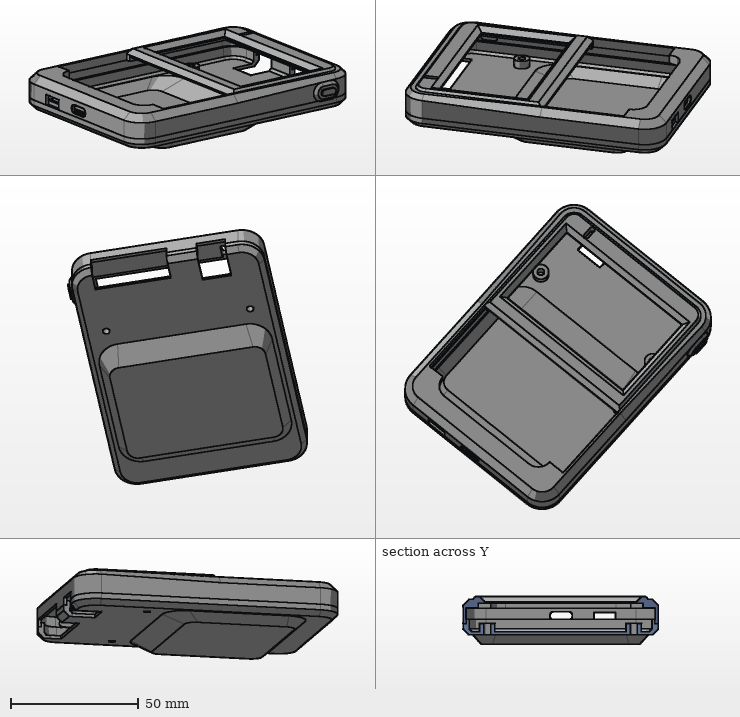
import cadquery as cq
CASE_WIDTH = 77.0
CASE_LENGTH = 106.8
CORNER_RADIUS = 9.0
HALF_WIDTH = CASE_WIDTH / 2
HALF_LENGTH = CASE_LENGTH / 2
OVERCUT = 1.1

BELLY_DEPTH = 3.7
PARTING_Z = 8.2
TOP_FACE_Z = 17.8
BEZEL_HEIGHT = 1.1
BEZEL_TOP_Z = TOP_FACE_Z + BEZEL_HEIGHT

SKIN = 1.3
LIP_HEIGHT = 1.7
CAVITY_INSET = 2 * SKIN
FLOOR_Z = BELLY_DEPTH + SKIN
PLATE_UNDERSIDE_Z = 14.2

BOTTOM_CHAMFER = 2.2
FLOOR_CHAMFER = 1.1
FRONT_CHAMFER = 3.0
REAR_CHAMFER = 2.0
TAPER_START_Y = -4.0
TAPER_END_Y = HALF_LENGTH - CORNER_RADIUS

BEZEL_HALF_WIDTH = 34.5
BEZEL_REAR_Y = 49.5
BEZEL_CORNER_RADIUS = 5.0
BAR_FRONT_Y = -4.2
BAR_BEVEL = 2.1
WINDOW_WIDTH = 63.9
WINDOW_FRONT_Y = 2.2
WINDOW_REAR_Y = 42.5
WINDOW_BEVEL = 2.1
SCREEN_WIDTH = 64.7
SCREEN_REAR_Y = 42.8
SCREEN_RECESS_TOP_Z = 16.1

KEYBOARD_FRONT_Y = -37.5
THUMB_WIDTH = 55.1
THUMB_FRONT_Y = -43.4
THUMB_RADIUS = 5.8

SLOT_X = -22.4
SLOT_Y = 45.4
SLOT_LENGTH = 5.6
SLOT_WIDTH = 2.0
USB_X = -0.2
USB_Z = 11.2
USB_WIDTH = 9.2
USB_HEIGHT = 3.6
USB_RIM_CHAMFER = 0.2
NOTCH_LEFT_X = -21.6
NOTCH_RIGHT_X = -13.2
NOTCH_TOP_Z = 12.5

REAR_PORTS = [(-24.6, -13.0, 40.8), (-1.0, 29.3, 44.1)]
PORT_TOP_Z = 11.1

BELLY_OUTER_TOP = (34.6, -41.3, 16.6, 8.9)
BELLY_OUTER_BOTTOM = (31.2, -36.7, 7.8, 4.3)
BELLY_INNER_TOP = (34.4, -41.1, 17.0, 8.9)
BELLY_INNER_BOTTOM = (30.7, -36.0, 7.0, 4.3)

POST_X = 28.8
POST_Y = 23.5
POST_DIAMETER = 6.2
POST_HOLE_DIAMETER = 2.7

BUTTON_Y = 39.4
BUTTON_Z = 11.7
BUTTON_DIAMETER = 2.7
BUTTON_STRAIGHT = 4.1
BUTTON_PROJECTION = 2.0
BUTTON_TIP_X = HALF_WIDTH + BUTTON_PROJECTION
COLLAR_TIP_DIAMETER = 5.2
COLLAR_STRAIGHT = 4.5
COLLAR_PROJECTION = 1.3
COLLAR_TIP_X = HALF_WIDTH + COLLAR_PROJECTION
INNER_WALL_X = HALF_WIDTH - SKIN


def rounded_slab(inset, bottom_z, top_z):
    """Case outline shrunk by inset, between two heights."""
    return (
        cq.Workplane("XY", origin=(0, 0, bottom_z))
        .rect(CASE_WIDTH - 2 * inset, CASE_LENGTH - 2 * inset)
        .extrude(top_z - bottom_z)
        .edges("|Z").fillet(CORNER_RADIUS - inset)
    )


def box_between(x_range, y_range, z_range):
    """Axis-aligned box from its low and high limits."""
    corner = (x_range[0], y_range[0], z_range[0])
    size = [high - low for low, high in (x_range, y_range, z_range)]
    return cq.Workplane("XY", origin=corner).box(*size, centered=False)


def belly_outline(section, height):
    """Rounded rectangle from (half width, front Y, rear Y, corner radius), raised by height."""
    half_width, front_y, rear_y, radius = section
    outline = cq.Sketch().rect(2 * half_width, rear_y - front_y).vertices().fillet(radius)
    return outline.moved(cq.Location(cq.Vector(0, (front_y + rear_y) / 2, height)))


def belly_volume(bottom_section, top_section, bottom_z):
    """Tapered bulge, as deep as the belly, between two rounded rectangles."""
    return (
        cq.Workplane("XY", origin=(0, 0, bottom_z))
        .placeSketch(belly_outline(bottom_section, 0), belly_outline(top_section, BELLY_DEPTH))
        .loft(ruled=True)
    )


def port_cutter(left_x, right_x, front_y):
    """Opening through the floor and the rear wall."""
    return box_between((left_x, right_x), (front_y, HALF_LENGTH + OVERCUT), (0, PORT_TOP_Z))


def side_slot(centre, straight, diameter, length):
    """Rounded bar along +X, starting at centre."""
    return (
        cq.Workplane("YZ", origin=centre)
        .slot2D(straight + diameter, diameter)
        .extrude(length)
    )


def upper_section(workplane, chamfer):
    """Cross-section of the upper shell, with chamfered top corners."""
    return workplane.polyline([
        (-HALF_WIDTH, PARTING_Z),
        (HALF_WIDTH, PARTING_Z),
        (HALF_WIDTH, TOP_FACE_Z - chamfer),
        (HALF_WIDTH - chamfer, TOP_FACE_Z),
        (chamfer - HALF_WIDTH, TOP_FACE_Z),
        (-HALF_WIDTH, TOP_FACE_Z - chamfer),
    ]).close()


def upper_blank():
    """Solid upper shell, its top chamfer tapering along the sides."""
    x_range = (-CASE_WIDTH, CASE_WIDTH)
    z_range = (0, 2 * TOP_FACE_Z)
    slab = rounded_slab(0, PARTING_Z, TOP_FACE_Z)
    front_zone = box_between(x_range, (-CASE_LENGTH, TAPER_START_Y), z_range)
    rear_zone = box_between(x_range, (TAPER_END_Y, CASE_LENGTH), z_range)
    front = slab.faces(">Z").chamfer(FRONT_CHAMFER).intersect(front_zone)
    rear = slab.faces(">Z").chamfer(REAR_CHAMFER).intersect(rear_zone)
    start = cq.Workplane("XZ", origin=(0, TAPER_START_Y, 0))
    taper = upper_section(start, FRONT_CHAMFER).workplane(offset=TAPER_START_Y - TAPER_END_Y)
    middle = upper_section(taper, REAR_CHAMFER).loft(ruled=True)
    return front.union(middle).union(rear)


def bezel():
    """Raised frame around the window, sloping at 45 degrees on every side."""
    front_y = BAR_FRONT_Y + BAR_BEVEL - BEZEL_HEIGHT
    return (
        cq.Workplane("XY", origin=(0, (front_y + BEZEL_REAR_Y) / 2, TOP_FACE_Z - OVERCUT))
        .rect(2 * BEZEL_HALF_WIDTH, BEZEL_REAR_Y - front_y)
        .extrude(OVERCUT + BEZEL_HEIGHT)
        .edges("|Z and >Y").fillet(BEZEL_CORNER_RADIUS)
        .faces(">Z").chamfer(BEZEL_HEIGHT)
    )


def window_cutter():
    """Window whose upper rim slopes inward, then drops straight."""
    length = WINDOW_REAR_Y - WINDOW_FRONT_Y
    centre_y = (WINDOW_FRONT_Y + WINDOW_REAR_Y) / 2
    slope = (
        cq.Workplane("XY", origin=(0, centre_y, BEZEL_TOP_Z))
        .rect(WINDOW_WIDTH, length)
        .workplane(offset=-WINDOW_BEVEL)
        .rect(WINDOW_WIDTH - 2 * WINDOW_BEVEL, length - 2 * WINDOW_BEVEL)
        .loft(ruled=True)
    )
    throat = (
        cq.Workplane("XY", origin=(0, centre_y, PARTING_Z))
        .rect(WINDOW_WIDTH - 2 * WINDOW_BEVEL, length - 2 * WINDOW_BEVEL)
        .extrude(BEZEL_TOP_Z - WINDOW_BEVEL - PARTING_Z)
    )
    return slope.union(throat)


def screen_recess():
    """Pocket under the window frame, open toward the keyboard."""
    half_width = SCREEN_WIDTH / 2
    return box_between(
        (-half_width, half_width),
        (BAR_FRONT_Y, SCREEN_REAR_Y),
        (PARTING_Z, SCREEN_RECESS_TOP_Z),
    )


def keyboard_cutter():
    """Keyboard opening with its rounded thumb recess and the bevel of the bar behind it."""
    top_z = BEZEL_TOP_Z + OVERCUT
    opening = box_between(
        (-BEZEL_HALF_WIDTH, BEZEL_HALF_WIDTH),
        (KEYBOARD_FRONT_Y, BAR_FRONT_Y),
        (PARTING_Z, top_z),
    )
    thumb = box_between(
        (-THUMB_WIDTH / 2, THUMB_WIDTH / 2),
        (THUMB_FRONT_Y, BAR_FRONT_Y),
        (PARTING_Z, top_z),
    ).edges("|Z and <Y").fillet(THUMB_RADIUS)
    bevel = (
        cq.Workplane("YZ", origin=(-BEZEL_HALF_WIDTH, 0, 0))
        .polyline([
            (BAR_FRONT_Y, BEZEL_TOP_Z - BAR_BEVEL),
            (BAR_FRONT_Y + BAR_BEVEL, BEZEL_TOP_Z),
            (BAR_FRONT_Y, BEZEL_TOP_Z),
        ]).close()
        .extrude(2 * BEZEL_HALF_WIDTH)
    )
    return opening.union(thumb).union(bevel)


def light_slot():
    """Short rounded slot through the bezel behind the window."""
    return (
        cq.Workplane("XY", origin=(SLOT_X, SLOT_Y, PARTING_Z))
        .slot2D(SLOT_LENGTH, SLOT_WIDTH, 90)
        .extrude(BEZEL_TOP_Z)
    )


def usb_cutter():
    """Rounded connector opening in the front wall, with a chamfered rim."""
    opening = (
        cq.Workplane("XZ", origin=(USB_X, SKIN - HALF_LENGTH, USB_Z))
        .slot2D(USB_WIDTH - 2 * USB_RIM_CHAMFER, USB_HEIGHT - 2 * USB_RIM_CHAMFER)
        .extrude(SKIN)
    )
    rim = (
        cq.Workplane("XZ", origin=(USB_X, -HALF_LENGTH, USB_Z))
        .slot2D(USB_WIDTH, USB_HEIGHT)
        .extrude(-USB_RIM_CHAMFER, taper=45)
    )
    return opening.union(rim)


def notch_cutter():
    """Notch in the front wall, rising from the seam."""
    return box_between(
        (NOTCH_LEFT_X, NOTCH_RIGHT_X),
        (-HALF_LENGTH - OVERCUT, SKIN - HALF_LENGTH),
        (PARTING_Z, NOTCH_TOP_Z),
    )


def button_collar():
    """Raised rounded collar with 45-degree sides, rooted in the side wall above the lower shell."""
    rise = COLLAR_TIP_X - INNER_WALL_X
    collar = (
        cq.Workplane("YZ", origin=(COLLAR_TIP_X, BUTTON_Y, BUTTON_Z))
        .slot2D(COLLAR_STRAIGHT + COLLAR_TIP_DIAMETER, COLLAR_TIP_DIAMETER)
        .extrude(-rise, taper=-45)
    )
    return collar.cut(rounded_slab(0, BELLY_DEPTH, PARTING_Z))


def build_button():
    """Side button, filling its opening from the inner wall to the tip."""
    start = (INNER_WALL_X, BUTTON_Y, BUTTON_Z)
    return side_slot(start, BUTTON_STRAIGHT, BUTTON_DIAMETER, BUTTON_TIP_X - INNER_WALL_X)


def build_upper_shell():
    """Upper shell with bezel, window, keyboard opening and wall openings."""
    shell = upper_blank().union(bezel()).union(button_collar())
    shell = shell.cut(rounded_slab(SKIN, PARTING_Z, PLATE_UNDERSIDE_Z))
    cutters = [
        window_cutter(),
        screen_recess(),
        keyboard_cutter(),
        light_slot(),
        usb_cutter(),
        notch_cutter(),
        build_button(),
    ]
    for cutter in cutters:
        shell = shell.cut(cutter)
    for port in REAR_PORTS:
        shell = shell.cut(port_cutter(*port))
    return shell.solids()


def build_lower_shell():
    """Lower shell with bulging belly, seam lip, rear ports and screw posts."""
    body = rounded_slab(0, BELLY_DEPTH, PARTING_Z).faces("<Z").chamfer(BOTTOM_CHAMFER)
    lip = rounded_slab(SKIN, PARTING_Z, PARTING_Z + LIP_HEIGHT)
    belly = belly_volume(BELLY_OUTER_BOTTOM, BELLY_OUTER_TOP, 0)
    cavity = rounded_slab(CAVITY_INSET, FLOOR_Z, PARTING_Z + LIP_HEIGHT)
    cavity = cavity.faces("<Z").chamfer(FLOOR_CHAMFER)
    hollow = belly_volume(BELLY_INNER_BOTTOM, BELLY_INNER_TOP, SKIN)
    shell = body.union(lip).union(belly).cut(cavity).cut(hollow)

    post_centres = [(-POST_X, POST_Y), (POST_X, POST_Y)]
    posts = cq.Workplane("XY", origin=(0, 0, BELLY_DEPTH)).pushPoints(post_centres)
    post_height = PARTING_Z - BELLY_DEPTH
    shell = shell.union(posts.circle(POST_DIAMETER / 2).extrude(post_height))
    shell = shell.cut(posts.circle(POST_HOLE_DIAMETER / 2).extrude(post_height))
    for port in REAR_PORTS:
        shell = shell.cut(port_cutter(*port))
    return shell.solids()


lower_shell = build_lower_shell()
upper_shell = build_upper_shell()
button = build_button()

result = cq.Compound.makeCompound([lower_shell.val(), upper_shell.val(), button.val()])